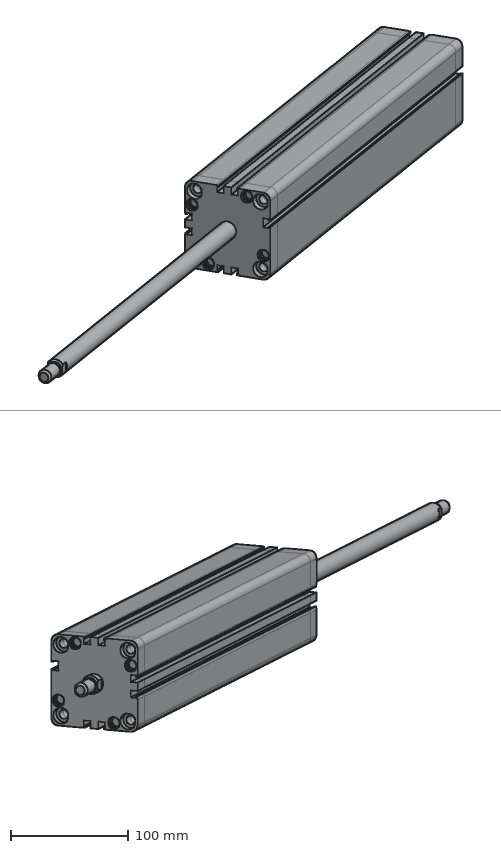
import cadquery as cq

total_length = 813.0
body_width = 80.0
body_length = 400.0
cap_length = 15.0
thread_length = 22.0
rear_stub_length = 10.0
half_width = body_width / 2
body_rear = total_length / 2 - thread_length - rear_stub_length
body_front = body_rear - body_length
rod_rear = body_rear + rear_stub_length
rod_front = -total_length / 2 + thread_length

corner_radius = 6.5
slot_floor = 33.0
rib_half_width = 3.65
lip_edge = 8.5
lip_thickness = 2.0
lip_chamfer_width = 2.5
lip_chamfer_depth = 0.4
undercut_edge = 10.0
single_slot_center = 12.0
single_slot_mouth = 6.5
single_slot_floor_width = 8.0

hole_offset = 31.0
hole_diameter = 8.0
counterbore_diameter = 14.0
counterbore_depth = 0.8
port_diameter = 10.5
port_bore_diameter = 8.0
port_step_depth = 0.4
port_depth = 0.8
port_along = 18.0
port_across = 33.0

rod_diameter = 16.0
rod_chamfer = 2.0
flat_width = 14.0
flat_length = 8.0
thread_diameter = 12.0
thread_chamfer = 2.0
neck_diameter = 10.0
neck_length = 2.5


def along_y(y_start):
    """XZ sketch plane at y_start whose extrusions run toward +Y."""
    return cq.Workplane(cq.Plane((0, y_start, 0), xDir=(-1, 0, 0), normal=(0, 1, 0)))


def disc(y_face, diameter, length, x=0, z=0):
    """Cylinder along Y centered on (x, z); a negative length runs toward -Y."""
    return along_y(y_face).center(-x, z).circle(diameter / 2).extrude(length)


def from_front(points):
    """Mirror X so that points given as (x, z) suit the along_y plane."""
    return [(-x, z) for x, z in points]


def lipped_slot(y_start, length, side):
    """Hooked sensor slot on the top face, on one side of the central rib."""
    lip_bottom = half_width - lip_thickness
    outline = [
        (rib_half_width, half_width),
        (rib_half_width, slot_floor),
        (undercut_edge, slot_floor),
        (undercut_edge, lip_bottom),
        (lip_edge, lip_bottom),
        (lip_edge, half_width - lip_chamfer_depth),
        (lip_edge + lip_chamfer_width, half_width),
    ]
    outline = [(side * x, z) for x, z in outline]
    return along_y(y_start).polyline(from_front(outline)).close().extrude(length)


def single_slot(y_start, length):
    """T-shaped slot in the +X face."""
    lip_bottom = half_width - lip_thickness
    mouth_half = single_slot_mouth / 2
    floor_half = single_slot_floor_width / 2
    outline = [
        (half_width, single_slot_center - mouth_half),
        (lip_bottom, single_slot_center - mouth_half),
        (lip_bottom, single_slot_center - floor_half),
        (slot_floor, single_slot_center - floor_half),
        (slot_floor, single_slot_center + floor_half),
        (lip_bottom, single_slot_center + floor_half),
        (lip_bottom, single_slot_center + mouth_half),
        (half_width, single_slot_center + mouth_half),
    ]
    return along_y(y_start).polyline(from_front(outline)).close().extrude(length)


def profile_segment(y_start, length):
    """Stretch of the square profile with its slots and through holes."""
    segment = along_y(y_start).rect(body_width, body_width).extrude(length)
    segment = segment.edges("|Y").fillet(corner_radius)
    for angle in (0, 180, 270):
        for side in (-1, 1):
            slot = lipped_slot(y_start, length, side)
            segment = segment.cut(slot.rotate((0, 0, 0), (0, 1, 0), angle))
    segment = segment.cut(single_slot(y_start, length))
    for x in (-hole_offset, hole_offset):
        for z in (-hole_offset, hole_offset):
            segment = segment.cut(disc(y_start, hole_diameter, length, x, z))
    return segment


def end_recesses(y_face, inward):
    """Counterbores and stepped ports in one end face; inward is +1 or -1 along Y."""
    counterbore = disc(y_face, counterbore_diameter, inward * counterbore_depth, hole_offset, hole_offset)
    port = disc(y_face, port_diameter, inward * port_step_depth, port_along, port_across)
    bore = disc(y_face, port_bore_diameter, inward * port_depth, port_along, port_across)
    quarter = counterbore.add(port).add(bore)
    recesses = cq.Workplane()
    for angle in (0, 90, 180, 270):
        recesses = recesses.add(quarter.rotate((0, 0, 0), (0, 1, 0), angle))
    return recesses.combine()


def threaded_end(y_shoulder, outward):
    """Neck and stud leaving a rod shoulder; outward is +1 or -1 along Y."""
    neck = disc(y_shoulder, neck_diameter, outward * neck_length)
    stud_length = thread_length - neck_length
    stud = disc(y_shoulder + outward * neck_length, thread_diameter, outward * stud_length)
    tip = ">Y" if outward > 0 else "<Y"
    return neck.union(stud.faces(tip).chamfer(thread_chamfer))


def wrench_flats(y_shoulder, inward):
    """Material outside the two flats, beside a rod shoulder."""
    blank = disc(y_shoulder, 2 * rod_diameter, inward * flat_length)
    kept = along_y(y_shoulder).rect(flat_width, 2 * rod_diameter).extrude(inward * flat_length)
    return blank.cut(kept)


def piston_rod():
    """Through rod with wrench flats and a threaded stud at both ends."""
    rod = disc(rod_front, rod_diameter, rod_rear - rod_front)
    rod = rod.faces("<Y or >Y").chamfer(rod_chamfer)
    rod = rod.cut(wrench_flats(rod_front, 1)).cut(wrench_flats(rod_rear, -1))
    return rod.union(threaded_end(rod_front, -1)).union(threaded_end(rod_rear, 1))


front_cap = profile_segment(body_front, cap_length).cut(end_recesses(body_front, 8))
rear_cap = profile_segment(body_rear - cap_length, cap_length).cut(end_recesses(body_rear, -8))
tube = profile_segment(body_front + cap_length, body_length - 2 * cap_length)
body = tube.union(front_cap, clean=False).union(rear_cap, clean=False)

result = body.union(piston_rod(), clean=False)